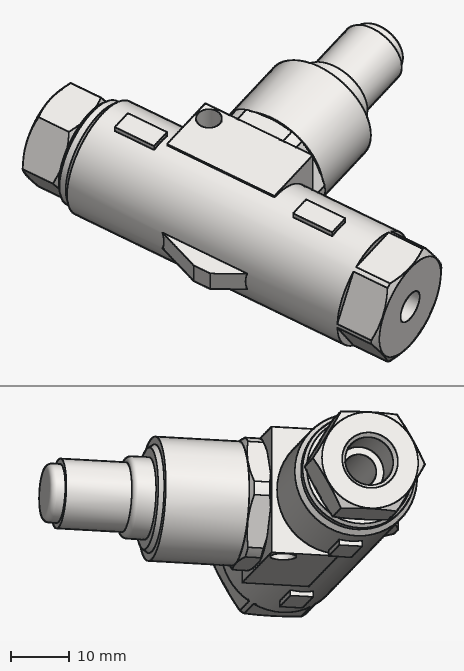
import cadquery as cq
import math

total_length = 74.0
total_depth = 63.0
total_height = 23.0
body_radius = 10.7
hex_sides = 6
hex_chamfer_angle = 30.0

inlet_hex_flats = 17.0
inlet_hex_length = 7.85
inlet_hex_face_radius = 8.4
collar_radius = 9.85
collar_chamfer = 0.6
collar_end_x = 9.7
shoulder_length = 0.9

outlet_hex_flats = 19.0
outlet_hex_start_x = 66.2
outlet_hex_face_radius = 9.4

bore_diameter = 5.85
port_diameter = 8.4
port_depth = inlet_hex_length
port_chamfer = 0.7

sensor_x = 35.0
block_size = 22.1
block_top_y = 11.7
cross_hole_diameter = 4.45
cross_hole_x = 26.5
cross_hole_y = 9.0

pad_length = 8.1
pad_width = 4.0
pad_pitch = 36.7
pad_middle_x = 36.9

rib_thickness = 3.85
rib_root_y = -9.6
rib_root_start_x = 27.75
rib_tip_start_x = 38.9
rib_tip_end_x = 42.3
rib_root_end_x = 49.0

sensor_hex_flats = 21.0
sensor_hex_corner_radius = total_height / 2
sensor_hex_top_y = 15.5
sensor_hex_top_radius = 10.35
sensor_hex_bottom_radius = 10.8
barrel_radius = 10.65
barrel_top_y = 30.1
cone_bottom_radius = 9.3
cone_top_radius = 8.7
cone_top_y = 31.0
ring_diameter = 14.1
ring_top_y = 35.0
ring_fillet = 0.9
plug_radius = 6.0
plug_top_y = 46.5
tip_diameter = 10.15
tip_top_y = 48.9
tip_fillet = 1.0

rib_tip_y = tip_top_y - total_depth


def chamfer_run(outer_radius, face_radius):
    """Axial length of a hex chamfer that falls from outer_radius to face_radius."""
    return (outer_radius - face_radius) * math.tan(math.radians(hex_chamfer_angle))


def corner_radius(flats):
    """Radius through the corners of a full hexagon."""
    return flats / 2 / math.cos(math.pi / hex_sides)


def turned_about_x(profile):
    """Solid of revolution about X from (x, radius) points; the ends close on the axis."""
    points = [(profile[0][0], 0), *profile, (profile[-1][0], 0)]
    return cq.Workplane("XY").polyline(points).close().revolve(360, (0, 0, 0), (1, 0, 0))


def turned_about_y(profile):
    """Solid of revolution about the sensor axis from (radius, y) points."""
    points = [(0, profile[0][1]), *profile, (0, profile[-1][1])]
    turned = cq.Workplane("XY").polyline(points).close().revolve(360, (0, 0, 0), (0, 1, 0))
    return turned.translate((sensor_x, 0, 0))


def hex_bar_x(flats, start_x, end_x):
    """Hexagonal bar along X with two flats facing up and down."""
    bar = cq.Workplane("YZ").polygon(hex_sides, 2 * corner_radius(flats)).extrude(end_x - start_x)
    return bar.translate((start_x, 0, 0))


def make_inlet_hex():
    """Hex chamfered at both ends."""
    outer = corner_radius(inlet_hex_flats)
    run = chamfer_run(outer, inlet_hex_face_radius)
    envelope = turned_about_x([
        (0, inlet_hex_face_radius),
        (run, outer),
        (inlet_hex_length - run, outer),
        (inlet_hex_length, inlet_hex_face_radius),
    ])
    return hex_bar_x(inlet_hex_flats, 0, inlet_hex_length).intersect(envelope)


def make_round_body():
    """Collar, conical shoulder and main cylinder up to the outlet hex."""
    return turned_about_x([
        (inlet_hex_length, collar_radius - collar_chamfer),
        (inlet_hex_length + collar_chamfer, collar_radius),
        (collar_end_x, collar_radius),
        (collar_end_x + shoulder_length, body_radius),
        (outlet_hex_start_x, body_radius),
    ])


def make_outlet_hex():
    """Hex with corners rounded to the body radius and a chamfered outer end."""
    run = chamfer_run(body_radius, outlet_hex_face_radius)
    envelope = turned_about_x([
        (outlet_hex_start_x, body_radius),
        (total_length - run, body_radius),
        (total_length, outlet_hex_face_radius),
    ])
    return hex_bar_x(outlet_hex_flats, outlet_hex_start_x, total_length).intersect(envelope)


def make_block():
    """Square block from the main axis up to the sensor seat."""
    block = cq.Workplane("XY").box(block_size, block_top_y, block_size)
    return block.translate((sensor_x, block_top_y / 2, 0))


def make_pad(center_x):
    """Bar through the main axis whose ends stand out as pads above and below."""
    pad = cq.Workplane("XY").box(pad_length, pad_width, total_height)
    return pad.translate((center_x, 0, 0))


def make_rib():
    """Blunt-pointed rib whose sloping sides run down into the round body."""
    outline = [
        (rib_root_start_x, rib_root_y),
        (rib_tip_start_x, rib_tip_y),
        (rib_tip_end_x, rib_tip_y),
        (rib_root_end_x, rib_root_y),
    ]
    return cq.Workplane("XY").polyline(outline).close().extrude(rib_thickness / 2, both=True)


def make_passage():
    """Through bore with a wider, chamfered port in the inlet face."""
    port_radius = port_diameter / 2
    bore_radius = bore_diameter / 2
    return turned_about_x([
        (0, port_radius + port_chamfer),
        (port_chamfer, port_radius),
        (port_depth, port_radius),
        (port_depth, bore_radius),
        (total_length, bore_radius),
    ])


def make_cross_hole():
    """Hole through the corner of the block, parallel to Z."""
    hole = cq.Workplane("XY").circle(cross_hole_diameter / 2).extrude(block_size, both=True)
    return hole.translate((cross_hole_x, cross_hole_y, 0))


def make_housing():
    """Valve housing with its hex ends, sensor block, pads and rib."""
    housing = make_round_body().union(make_inlet_hex()).union(make_outlet_hex())
    housing = housing.union(make_block()).union(make_rib())
    for side in (-1, 1):
        housing = housing.union(make_pad(pad_middle_x + side * pad_pitch / 2))
    return housing.cut(make_passage()).cut(make_cross_hole())


def make_sensor_hex():
    """Hex at the foot of the sensor, with rounded corners and both ends chamfered."""
    bar = cq.Workplane("XZ").polygon(hex_sides, 2 * corner_radius(sensor_hex_flats))
    bar = bar.extrude(block_top_y - sensor_hex_top_y).translate((sensor_x, block_top_y, 0))
    bottom_run = chamfer_run(sensor_hex_corner_radius, sensor_hex_bottom_radius)
    top_run = chamfer_run(sensor_hex_corner_radius, sensor_hex_top_radius)
    envelope = turned_about_y([
        (sensor_hex_bottom_radius, block_top_y),
        (sensor_hex_corner_radius, block_top_y + bottom_run),
        (sensor_hex_corner_radius, sensor_hex_top_y - top_run),
        (sensor_hex_top_radius, sensor_hex_top_y),
    ])
    return bar.intersect(envelope)


def make_rounded_disc(diameter, bottom_y, top_y, fillet):
    """Cylinder on the sensor axis with its top edge rounded."""
    disc = turned_about_y([(diameter / 2, bottom_y), (diameter / 2, top_y)])
    return disc.faces(">Y").edges().fillet(fillet)


def make_sensor():
    """Sensor seated on the block: hex, barrel, cone, rounded ring, plug and tip."""
    barrel = turned_about_y([
        (barrel_radius, sensor_hex_top_y),
        (barrel_radius, barrel_top_y),
        (cone_bottom_radius, barrel_top_y),
        (cone_top_radius, cone_top_y),
    ])
    ring = make_rounded_disc(ring_diameter, cone_top_y, ring_top_y, ring_fillet)
    plug = turned_about_y([(plug_radius, ring_top_y), (plug_radius, plug_top_y)])
    tip = make_rounded_disc(tip_diameter, plug_top_y, tip_top_y, tip_fillet)
    return make_sensor_hex().union(barrel).union(ring).union(plug).union(tip)


housing = make_housing()
sensor = make_sensor()

result = cq.Compound.makeCompound([housing.solids().val(), sensor.solids().val()])